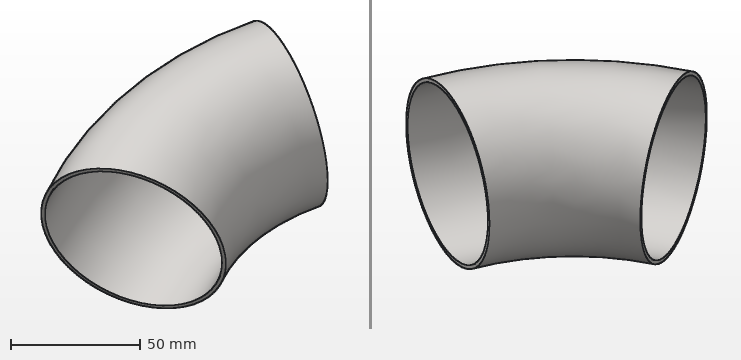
import cadquery as cq
import math

bend_angle = 45.0
overall_length = 107.8
bend_radius_ratio = 1.5
wall_thickness = 1.6

outer_bend_radius = overall_length / math.sin(math.radians(bend_angle))
outside_diameter = outer_bend_radius / (bend_radius_ratio + 0.5)
bend_radius = bend_radius_ratio * outside_diameter
outer_radius = outside_diameter / 2
bore_radius = outer_radius - wall_thickness


def make_elbow():
    """Sweep the tube ring, facing -Y, around a vertical axis on its +X side."""
    ring = cq.Workplane("XZ").circle(outer_radius).circle(bore_radius)
    axis_start = (bend_radius, 0)
    axis_end = (bend_radius, -1)
    return ring.revolve(bend_angle, axis_start, axis_end)


result = make_elbow()